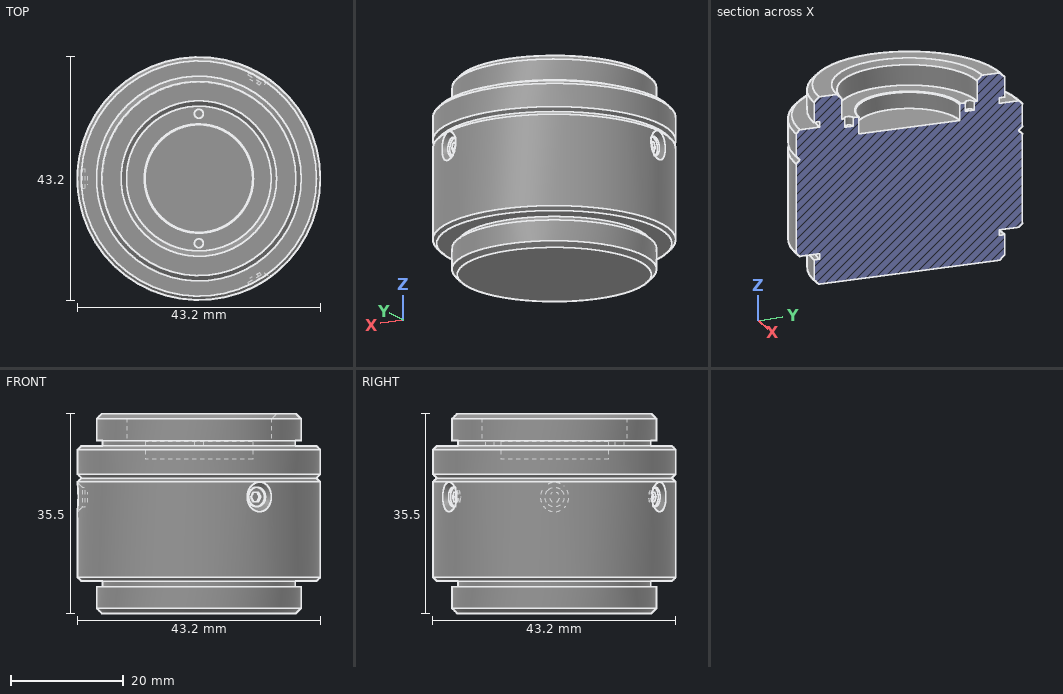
import cadquery as cq
import math

HEIGHT = 35.51
BODY_RADIUS = 43.18 / 2
BODY_CHAMFER = 0.7

FLANGE_RADIUS = 36.37 / 2
FLANGE_CHAMFER = 0.95
FLANGE_THICKNESS = 4.8
NECK_RADIUS = 34.29 / 2
NECK_LENGTH = 0.95

V_GROOVE_BELOW_TOP = 11.45

BORE_RADIUS = 25.72 / 2
BORE_DEPTH = 4.8
BORE_CHAMFER = 0.95
WELL_RADIUS = 19.11 / 2
WELL_DEPTH = 3.2
WELL_CHAMFER = 0.15

PIN_HOLE_DIAMETER = 1.57
PIN_HOLE_PITCH_RADIUS = 11.5
PIN_HOLE_DEPTH = 1.6

SCREW_DIAMETER = 3.45
SCREW_BELOW_TOP = 14.8
SCREW_SINK = 1.3
SCREW_ANGLES = (60, 180, 300)
COUNTERSINK_DIAMETER = 5.25
SOCKET_ACROSS_FLATS = 1.7
SOCKET_DEPTH = 0.5

TOP = HEIGHT / 2
BODY_TOP = TOP - FLANGE_THICKNESS - NECK_LENGTH
BORE_FLOOR = TOP - BORE_DEPTH
SCREW_Z = TOP - SCREW_BELOW_TOP


def end_flange():
    """Chamfered flange with its neck, at the top end; the neck runs to mid-height."""
    neck = cq.Workplane("XY").circle(NECK_RADIUS).extrude(TOP)
    flange = (
        cq.Workplane("XY")
        .workplane(offset=TOP - FLANGE_THICKNESS)
        .circle(FLANGE_RADIUS)
        .extrude(FLANGE_THICKNESS)
        .faces(">Z")
        .chamfer(FLANGE_CHAMFER)
    )
    return neck.union(flange)


def chamfered_drum(bottom, top):
    """Full-diameter drum with both rims chamfered."""
    return (
        cq.Workplane("XY")
        .workplane(offset=bottom)
        .circle(BODY_RADIUS)
        .extrude(top - bottom)
        .faces("<Z or >Z")
        .chamfer(BODY_CHAMFER)
    )


def barrel():
    """Outer shape; the chamfers of the ring and the body meet to form the V-groove."""
    upper_end = end_flange()
    lower_end = upper_end.mirror("XY")
    v_groove_z = TOP - V_GROOVE_BELOW_TOP
    upper_ring = chamfered_drum(v_groove_z, BODY_TOP)
    main_body = chamfered_drum(-BODY_TOP, v_groove_z)
    return upper_end.union(lower_end).union(main_body).union(upper_ring)


def pocket(radius, top, depth, chamfer):
    """Cutter for a blind round pocket with a 45 degree chamfer at its mouth."""
    floor = top - depth
    return (
        cq.Workplane("XZ")
        .moveTo(0, floor)
        .lineTo(radius, floor)
        .lineTo(radius, top - chamfer)
        .lineTo(radius + chamfer, top)
        .lineTo(0, top)
        .close()
        .revolve(360, (0, 0, 0), (0, 1, 0))
    )


def pin_holes():
    """Cutter for the two pin holes, opposite each other on the Y axis."""
    return (
        cq.Workplane("XY")
        .workplane(offset=BORE_FLOOR)
        .pushPoints([(0, PIN_HOLE_PITCH_RADIUS), (0, -PIN_HOLE_PITCH_RADIUS)])
        .circle(PIN_HOLE_DIAMETER / 2)
        .extrude(-PIN_HOLE_DEPTH)
    )


def screw_recess(angle):
    """Cutter for one countersunk screw hole down to the screw face, with its hex socket."""
    hole_radius = SCREW_DIAMETER / 2
    mouth_radius = COUNTERSINK_DIAMETER / 2
    cone_start = BODY_RADIUS - (mouth_radius - hole_radius)
    screw_face = BODY_RADIUS - SCREW_SINK
    hole = (
        cq.Workplane("XY")
        .moveTo(screw_face, 0)
        .lineTo(screw_face, hole_radius)
        .lineTo(cone_start, hole_radius)
        .lineTo(BODY_RADIUS, mouth_radius)
        .lineTo(BODY_RADIUS, 0)
        .close()
        .revolve(360, (0, 0, 0), (1, 0, 0))
    )
    across_corners = SOCKET_ACROSS_FLATS / math.cos(math.pi / 6)
    socket = (
        cq.Workplane("YZ")
        .workplane(offset=screw_face - SOCKET_DEPTH)
        .polygon(6, across_corners)
        .extrude(SOCKET_DEPTH)
    )
    return hole.union(socket).translate((0, 0, SCREW_Z)).rotate((0, 0, 0), (0, 0, 1), angle)


result = barrel()
result = result.cut(pocket(BORE_RADIUS, TOP, BORE_DEPTH, BORE_CHAMFER))
result = result.cut(pocket(WELL_RADIUS, BORE_FLOOR, WELL_DEPTH, WELL_CHAMFER))
result = result.cut(pin_holes())
for screw_angle in SCREW_ANGLES:
    result = result.cut(screw_recess(screw_angle))